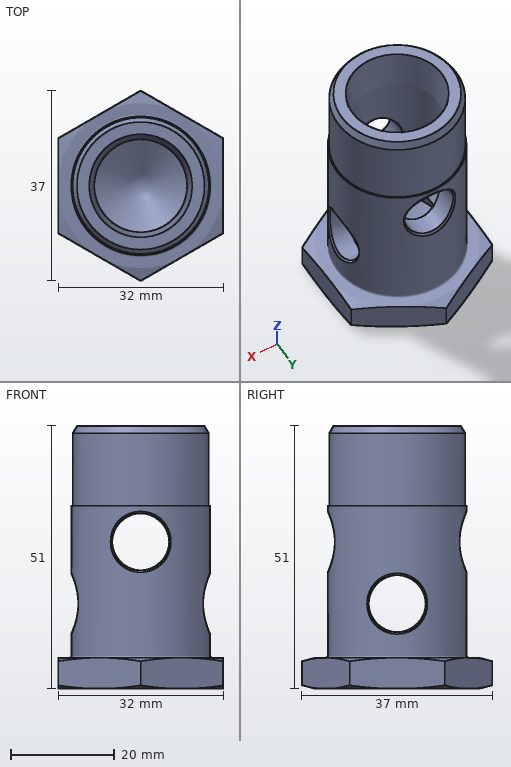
import cadquery as cq
import math

across_flats = 32.0
head_height = 6.0
corner_bevel_angle = 15.0
hexagon_half_angle = 30.0

total_height = 51.0
shank_diameter = 26.96
neck_diameter = 26.44
shoulder_z = 35.5
tip_bevel_height = 1.45
tip_bevel_angle = 30.0
base_fillet = 0.4

bore_diameter = 18.0
mouth_diameter = 20.0
mouth_depth = 7.7
bore_bottom_z = 10.0
drill_point_angle = 118.0

cross_hole_diameter = 11.0
rim_chamfer = 0.4
rim_clearance = 0.2
upper_hole_z = 28.5
lower_hole_z = 16.5


def revolve_profile(points):
    """Revolve a closed (radius, height) outline about the Z axis."""
    return cq.Workplane("XZ").polyline(points).close().revolve(360, (0, 0, 0), (0, 1, 0))


def make_head():
    """Hexagon with corners along Y, its corners bevelled at both ends."""
    flat_radius = across_flats / 2
    corner_radius = flat_radius / math.cos(math.radians(hexagon_half_angle))
    hexagon = (
        cq.Workplane("XY")
        .polygon(6, 2 * corner_radius)
        .extrude(head_height)
        .rotate((0, 0, 0), (0, 0, 1), hexagon_half_angle)
    )
    bevel_drop = (corner_radius - flat_radius) * math.tan(math.radians(corner_bevel_angle))
    bevel_envelope = revolve_profile([
        (0, 0),
        (flat_radius, 0),
        (corner_radius, bevel_drop),
        (corner_radius, head_height - bevel_drop),
        (flat_radius, head_height),
        (0, head_height),
    ])
    return hexagon.intersect(bevel_envelope)


def make_shank():
    """Stepped round shank, bevelled at the tip and filleted into the head."""
    shank_radius = shank_diameter / 2
    neck_radius = neck_diameter / 2
    tip_radius = neck_radius - tip_bevel_height * math.tan(math.radians(tip_bevel_angle))
    fillet_center = (shank_radius + base_fillet, head_height + base_fillet)
    fillet_reach = base_fillet * math.cos(math.radians(45))
    fillet_middle = (fillet_center[0] - fillet_reach, fillet_center[1] - fillet_reach)
    return (
        cq.Workplane("XZ")
        .moveTo(0, 0)
        .lineTo(shank_radius, 0)
        .lineTo(shank_radius, head_height)
        .lineTo(fillet_center[0], head_height)
        .threePointArc(fillet_middle, (shank_radius, fillet_center[1]))
        .lineTo(shank_radius, shoulder_z)
        .lineTo(neck_radius, shoulder_z)
        .lineTo(neck_radius, total_height - tip_bevel_height)
        .lineTo(tip_radius, total_height)
        .lineTo(0, total_height)
        .close()
        .revolve(360, (0, 0, 0), (0, 1, 0))
    )


def make_bore():
    """Cutter for the blind bore, its tapered mouth and its conical bottom."""
    bore_radius = bore_diameter / 2
    point_depth = bore_radius / math.tan(math.radians(drill_point_angle / 2))
    return revolve_profile([
        (0, bore_bottom_z - point_depth),
        (bore_radius, bore_bottom_z),
        (bore_radius, total_height - mouth_depth),
        (mouth_diameter / 2, total_height),
        (0, total_height),
    ])


def cut_cross_hole(body, plane, height):
    """Drill straight through the shank and chamfer both outer rims."""
    drill = (
        cq.Workplane(plane)
        .center(0, height)
        .circle(cross_hole_diameter / 2)
        .extrude(shank_diameter, both=True)
    )
    drilled = body.cut(drill)
    rim_reach = cross_hole_diameter / 2 + rim_clearance
    rim_zone = cq.selectors.BoxSelector(
        (-shank_diameter, -shank_diameter, height - rim_reach),
        (shank_diameter, shank_diameter, height + rim_reach),
        boundingbox=True,
    )
    rims = drilled.edges(rim_zone)
    return rims.chamfer(rim_chamfer)


body = make_head().union(make_shank())
body = cut_cross_hole(body, "XZ", upper_hole_z)
body = cut_cross_hole(body, "YZ", lower_hole_z)
result = body.cut(make_bore())